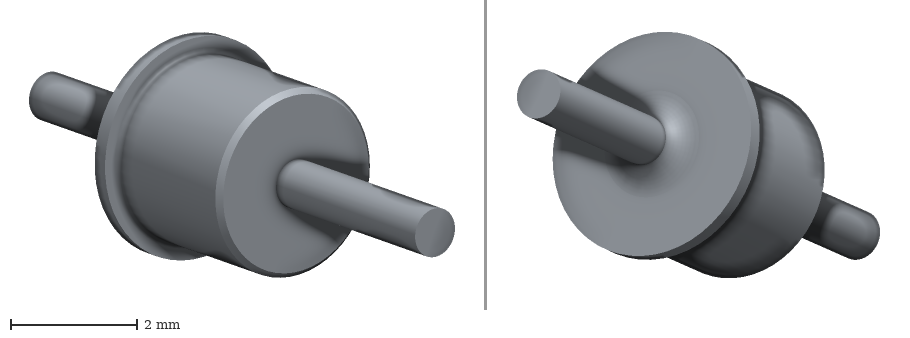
import cadquery as cq
import math

total_length = 10.0
pin_radius = 0.4

flange_diameter = 3.65
flange_radius = flange_diameter / 2
flange_start = 3.54
flange_thickness = 0.27
flange_end = flange_start + flange_thickness

body_radius = 1.55
body_end = 6.4
rim_chamfer = 0.09
root_fillet = 0.08

meniscus_radius = 0.87
meniscus_length = 0.24
meniscus_start = flange_start - meniscus_length
meniscus_height = meniscus_radius - pin_radius
meniscus_arc = (meniscus_length**2 + meniscus_height**2) / (2 * meniscus_length)
meniscus_mid_angle = math.asin(meniscus_height / meniscus_arc) / 2
meniscus_mid = (
    flange_start - meniscus_arc * (1 - math.cos(meniscus_mid_angle)),
    meniscus_radius - meniscus_arc * math.sin(meniscus_mid_angle),
)

profile = (
    cq.Workplane("XY")
    .lineTo(0, pin_radius)
    .lineTo(meniscus_start, pin_radius)
    .threePointArc(meniscus_mid, (flange_start, meniscus_radius))
    .lineTo(flange_start, flange_radius)
    .lineTo(flange_end, flange_radius)
    .lineTo(flange_end, body_radius + root_fillet)
    .radiusArc((flange_end + root_fillet, body_radius), -root_fillet)
    .lineTo(body_end - rim_chamfer, body_radius)
    .lineTo(body_end, body_radius - rim_chamfer)
    .lineTo(body_end, pin_radius)
    .lineTo(total_length, pin_radius)
    .lineTo(total_length, 0)
    .close()
)

result = profile.revolve(360, (0, 0, 0), (1, 0, 0))